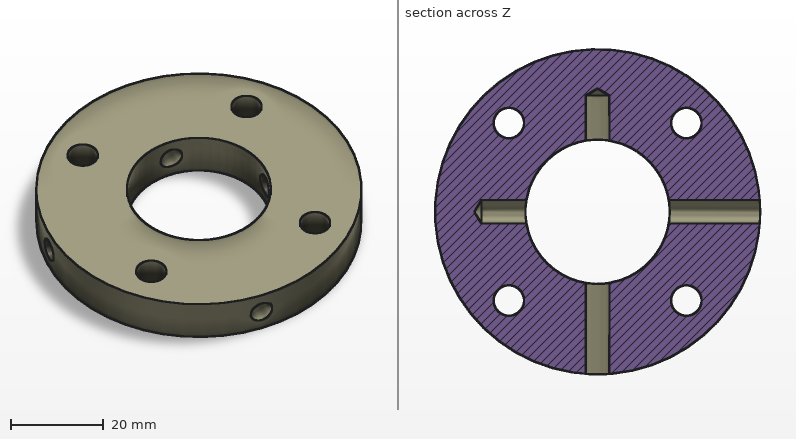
import cadquery as cq
import math

outer_diameter = 70.0
bore_diameter = 31.0
thickness = 10.0

bolt_hole_diameter = 6.5
bolt_circle_diameter = 54.0
bolt_hole_count = 4
first_bolt_angle = 45.0

drill_diameter = 5.0
drill_depth = 60.0
drill_point_angle = 118.0
drill_entry_angles = (-90.0, 0.0)

outer_radius = outer_diameter / 2
drill_radius = drill_diameter / 2
drill_point_height = drill_radius / math.tan(math.radians(drill_point_angle / 2))


def make_ring():
    """Flat ring centred on the Z axis, resting on the XY plane."""
    return cq.Workplane("XY").circle(outer_diameter / 2).circle(bore_diameter / 2).extrude(thickness)


def cut_bolt_holes(ring):
    """Through holes evenly spaced on the bolt circle."""
    return (
        ring.faces(">Z")
        .workplane()
        .polarArray(bolt_circle_diameter / 2, first_bolt_angle, 360, bolt_hole_count)
        .hole(bolt_hole_diameter)
    )


def make_cross_drill(entry_angle):
    """Conical-tipped drill at mid thickness, entering the rim at the given angle."""
    drill_end = outer_radius - drill_depth
    drill = (
        cq.Workplane("XZ")
        .moveTo(outer_radius, 0)
        .lineTo(outer_radius, drill_radius)
        .lineTo(drill_end, drill_radius)
        .lineTo(drill_end - drill_point_height, 0)
        .close()
        .revolve(360, (0, 0, 0), (1, 0, 0))
    )
    return drill.rotate((0, 0, 0), (0, 0, 1), entry_angle).translate((0, 0, thickness / 2))


result = cut_bolt_holes(make_ring())
for angle in drill_entry_angles:
    result = result.cut(make_cross_drill(angle))